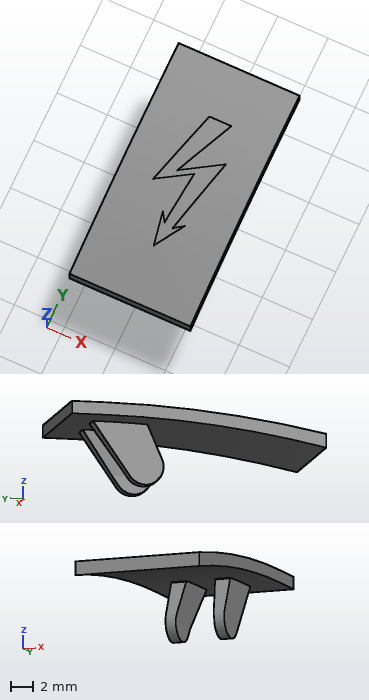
import cadquery as cq
import math

length = 23.5
width = 12.0
thickness = 1.15
flat_length = 3.0
top_bend_radius = 104.1
bottom_bend_radius = 98.23

back_y = length / 2
front_y = -length / 2
bend_y = back_y - flat_length

total_height = 6.8
clip_outer_x = 2.85
clip_tip_radius = 1.72
clip_tip_y = 4.28
clip_tip_z = clip_tip_radius - total_height
clip_back_root = (9.1, -thickness)
clip_front_root = (4.05, -1.35)
clip_embed_z = -thickness / 2
clip_root_width = 1.45
clip_tip_width = 0.99
taper_end_z = -5.17

inlay_depth = 0.24
arrow_outline = [
    (-0.55, 6.53),
    (1.65, 6.53),
    (-1.05, 0.75),
    (2.7, 3.05),
    (0.8, -4.3),
    (1.72, -3.67),
    (-0.1, -6.42),
    (-0.65, -3.22),
    (-0.1, -4.1),
    (0.47, 1.05),
    (-2.7, -0.85),
]


def bend_point(radius, depth, y):
    """Point (y, z) on the arc that leaves the flat tangentially at the given depth."""
    return y, math.sqrt(radius**2 - (bend_y - y) ** 2) - radius - depth


def curved_layer(depth, lower_radius):
    """Plate-sized layer from the top surface down to an underside with its own bend radius."""
    middle_y = (bend_y + front_y) / 2
    return (
        cq.Workplane("YZ")
        .moveTo(back_y, 0)
        .lineTo(bend_y, 0)
        .threePointArc(bend_point(top_bend_radius, 0, middle_y), bend_point(top_bend_radius, 0, front_y))
        .lineTo(*bend_point(lower_radius, depth, front_y))
        .threePointArc(bend_point(lower_radius, depth, middle_y), (bend_y, -depth))
        .lineTo(back_y, -depth)
        .close()
        .extrude(width / 2, both=True)
    )


def tip_tangent_point(root, side):
    """Point where a straight line from root touches the tip circle; side is +1 or -1."""
    dy = root[0] - clip_tip_y
    dz = root[1] - clip_tip_z
    angle = math.atan2(dz, dy) + side * math.acos(clip_tip_radius / math.hypot(dy, dz))
    return (
        clip_tip_y + clip_tip_radius * math.cos(angle),
        clip_tip_z + clip_tip_radius * math.sin(angle),
    )


def make_clip_pair():
    """Two mirrored clips: the leaning side outline cut to the tapered front outline."""
    side_outline = (
        cq.Workplane("YZ")
        .moveTo(clip_back_root[0], clip_embed_z)
        .lineTo(*clip_back_root)
        .lineTo(*tip_tangent_point(clip_back_root, -1))
        .threePointArc((clip_tip_y, -total_height), tip_tangent_point(clip_front_root, 1))
        .lineTo(*clip_front_root)
        .lineTo(clip_front_root[0], clip_embed_z)
        .close()
        .extrude(clip_outer_x, both=True)
    )
    root_inner_x = clip_outer_x - clip_root_width
    tip_inner_x = clip_outer_x - clip_tip_width
    front_outline = (
        cq.Workplane("XZ")
        .polyline([
            (clip_outer_x, clip_embed_z),
            (root_inner_x, clip_embed_z),
            (root_inner_x, -thickness),
            (tip_inner_x, taper_end_z),
            (tip_inner_x, -total_height),
            (clip_outer_x, -total_height),
        ])
        .close()
        .extrude(length / 2, both=True)
    )
    clip = side_outline.intersect(front_outline)
    return clip.union(clip.mirror("YZ"))


def make_arrow():
    """Lightning arrow that follows the curved top of the plate."""
    prism = (
        cq.Workplane("XY")
        .polyline(arrow_outline)
        .close()
        .extrude(total_height, both=True)
    )
    return curved_layer(inlay_depth, top_bend_radius - inlay_depth).intersect(prism)


arrow = make_arrow()
plate = curved_layer(thickness, bottom_bend_radius)
cover = plate.union(make_clip_pair()).cut(arrow)

result = cq.Compound.makeCompound([*cover.vals(), *arrow.vals()])